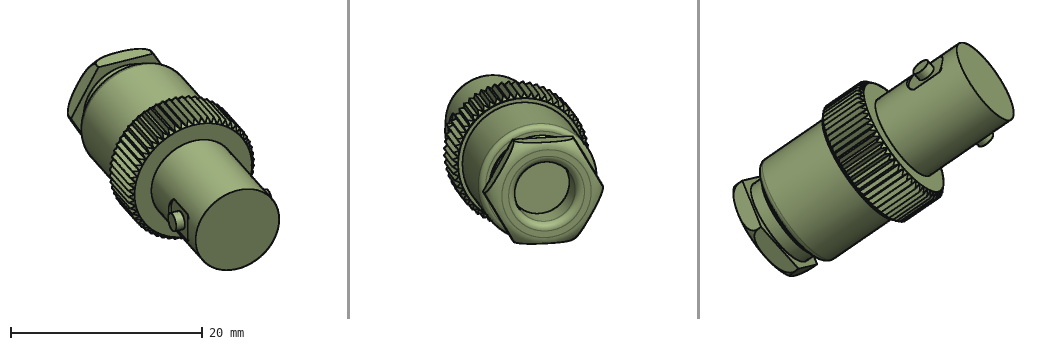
import cadquery as cq
import math

total_length = 29.35

nut_across_flats = 11.0
nut_corner_radius = nut_across_flats / 2 / math.cos(math.pi / 6)
nut_length = 2.02
nut_edge_radius = 1.58
cable_hole_radius = 3.23
cable_hole_rounding = 0.82
cable_hole_depth = 3.8

neck_radius = 4.9
shoulder_start = 3.45
shoulder_rise = 0.53

groove_start = 3.52
groove_pitch = 0.6
groove_turns = 1.25
groove_root_radius = 5.0
groove_depth = 0.47
groove_half_angle = math.radians(30)

body_start = shoulder_start + shoulder_rise
body_radius = 6.35
body_edge_radius = 0.65

collar_start = 12.97
collar_end = 18.5
tooth_count = 60
tooth_tip_radius = 7.3
tooth_root_radius = 6.78
tooth_height = tooth_tip_radius - tooth_root_radius
collar_lip_length = 0.15
collar_front_bevel = 0.35
collar_rear_bevel = tooth_height

barrel_radius = 4.85
stud_position = 25.1
stud_radius = 1.0
stud_tip_distance = 5.55
flat_distance = 4.55
flat_radius = 2.38


def cylinder_along_x(start, end, radius):
    return cq.Workplane("YZ", origin=(start, 0, 0)).circle(radius).extrude(end - start)


def revolve_about_x(profile):
    """Revolve a closed (axial, radial) profile about the X axis."""
    return profile.close().revolve(360, (0, 0, 0), (1, 0, 0))


def make_nut():
    """Hexagon with corners on +Y and -Y, its front corners rounded off."""
    hexagon = cq.Workplane("YZ").polygon(6, 2 * nut_corner_radius).extrude(nut_length)
    rounded_blank = (
        cylinder_along_x(0, nut_length, nut_corner_radius)
        .faces("<X").edges().fillet(nut_edge_radius)
    )
    return hexagon.intersect(rounded_blank)


def make_neck():
    """Neck that widens at 45 degrees into the front face of the body."""
    shoulder_radius = neck_radius + shoulder_rise
    return revolve_about_x(
        cq.Workplane("XY")
        .moveTo(nut_length, 0)
        .lineTo(nut_length, neck_radius)
        .lineTo(shoulder_start, neck_radius)
        .lineTo(body_start, shoulder_radius)
        .lineTo(body_start, 0)
    )


def make_thread_groove():
    """Right-hand helical V cutter starting on the -Y side of the shoulder."""
    half_width = groove_depth * math.tan(groove_half_angle)
    outer_radius = groove_root_radius + groove_depth
    helix = cq.Wire.makeHelix(groove_pitch, groove_turns * groove_pitch, groove_root_radius)
    cutter = (
        cq.Workplane("XZ")
        .moveTo(groove_root_radius, 0)
        .lineTo(outer_radius, half_width)
        .lineTo(outer_radius, -half_width)
        .close()
        .sweep(cq.Workplane(obj=helix), isFrenet=True)
    )
    return (
        cutter
        .rotate((0, 0, 0), (0, 0, 1), -90)
        .rotate((0, 0, 0), (0, 1, 0), 90)
        .translate((groove_start, 0, 0))
    )


def make_body():
    body = cylinder_along_x(body_start, collar_start, body_radius)
    return body.faces("<X").edges().fillet(body_edge_radius)


def make_collar():
    """Ring of triangular teeth, bevelled at both ends, behind a plain lip."""
    half_pitch = math.pi / tooth_count
    outline = []
    for i in range(2 * tooth_count):
        radius = tooth_tip_radius if i % 2 else tooth_root_radius
        angle = i * half_pitch
        outline.append((radius * math.cos(angle), radius * math.sin(angle)))
    teeth_start = collar_start + collar_lip_length
    teeth = (
        cq.Workplane("YZ", origin=(teeth_start, 0, 0))
        .polyline(outline).close()
        .extrude(collar_end - teeth_start)
    )
    bevelled_blank = revolve_about_x(
        cq.Workplane("XY")
        .moveTo(teeth_start, 0)
        .lineTo(teeth_start, tooth_root_radius)
        .lineTo(teeth_start + collar_front_bevel, tooth_tip_radius)
        .lineTo(collar_end - collar_rear_bevel, tooth_tip_radius)
        .lineTo(collar_end, tooth_root_radius)
        .lineTo(collar_end, 0)
    )
    lip = cylinder_along_x(collar_start, teeth_start, tooth_root_radius)
    return teeth.intersect(bevelled_blank).union(lip)


def make_barrel():
    """Plain barrel with a round-ended flat and a stud on its -Y and +Y sides."""
    barrel = cylinder_along_x(collar_end, total_length, barrel_radius)
    stud_axis = cq.Workplane("XZ", origin=(stud_position, 0, 0))
    for side in (1, -1):
        flat_cutter = (
            stud_axis.workplane(offset=side * flat_distance)
            .circle(flat_radius)
            .extrude(side * barrel_radius)
        )
        barrel = barrel.cut(flat_cutter)
    studs = stud_axis.circle(stud_radius).extrude(stud_tip_distance, both=True)
    return barrel.union(studs)


def make_cable_hole():
    """Blind hole with a rounded mouth."""
    mouth_radius = cable_hole_radius + cable_hole_rounding
    arc_offset = cable_hole_rounding * (1 - math.sqrt(0.5))
    return revolve_about_x(
        cq.Workplane("XY")
        .lineTo(0, mouth_radius)
        .threePointArc(
            (arc_offset, cable_hole_radius + arc_offset),
            (cable_hole_rounding, cable_hole_radius),
        )
        .lineTo(cable_hole_depth, cable_hole_radius)
        .lineTo(cable_hole_depth, 0)
    )


result = (
    make_nut()
    .union(make_neck().cut(make_thread_groove()))
    .union(make_body())
    .union(make_collar())
    .union(make_barrel())
    .cut(make_cable_hole())
)